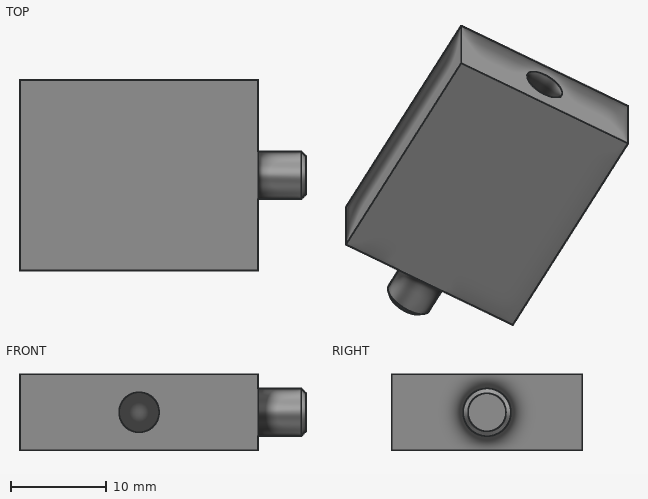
import cadquery as cq

total_length = 30.0
body_width = 20.0
body_height = 8.0

stud_diameter = 5.0
stud_length = 5.0
stud_chamfer = 0.5

port_diameter = 4.2
port_depth = 6.0

body_length = total_length - stud_length


def make_body():
    """Plain rectangular block."""
    return cq.Workplane("XY").box(body_length, body_width, body_height, centered=(False, True, True))


def make_stud():
    """Stud along the X axis with a 45 degree chamfer on its tip."""
    return (
        cq.Workplane("YZ", origin=(body_length, 0, 0))
        .circle(stud_diameter / 2)
        .extrude(stud_length)
        .faces(">X")
        .chamfer(stud_chamfer)
    )


def make_port(mouth_centre, inward):
    """Flat-bottomed cylinder to cut, running inward from the mouth of a port."""
    mouth_plane = cq.Plane(origin=mouth_centre, normal=inward)
    return cq.Workplane(mouth_plane).circle(port_diameter / 2).extrude(port_depth)


end_port = make_port((0, 0, 0), (1, 0, 0))
side_port = make_port((body_length / 2, -body_width / 2, 0), (0, 1, 0))

result = make_body().union(make_stud()).cut(end_port).cut(side_port)